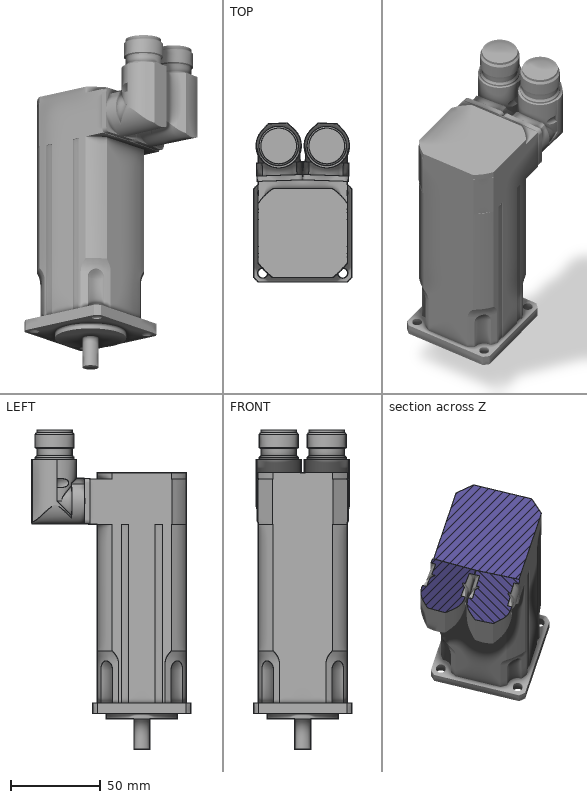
import cadquery as cq
import math


FLANGE_SIDE = 55.0
FLANGE_CORNER_DIAMETER = 74.0
FLANGE_THICKNESS = 6.0
BOLT_OFFSET = 22.4
BOLT_HOLE_DIAMETER = 5.5
PILOT_DIAMETER = 40.0
PILOT_HEIGHT = 3.0
SHAFT_DIAMETER = 9.0
SHAFT_LENGTH = 20.0

BODY_SIDE = 50.0
BODY_HALF = BODY_SIDE / 2
BODY_CORNER_RADIUS = 30.0
MOTOR_TOP = 135.0

RELIEF_RADIUS = 28.2
RELIEF_STRAIGHT_TOP = 28.2
RELIEF_BLEND_RADIUS = 14.5
SCREW_GROOVE_RADIUS = 6.0
SCREW_GROOVE_STRAIGHT_TOP = 24.6

SIDE_GROOVE_WIDTH = 4.0
SIDE_GROOVE_OFFSET = 9.5
SIDE_GROOVE_DEPTH = 0.5

HEAD_BOTTOM = 106.0
HEAD_TOP = 131.5
HEAD_CORNER_CHAMFER = 8.0
HEAD_RIDGE_Y = 29.85
SPLAY_ANGLE = 2.0

CONNECTOR_WIDTH = 25.6
SHELL_RADIUS = 12.7
CONNECTOR_AXIS_Z = 119.05
BASE_THICKNESS = 3.0
BASE_CORNER_RADIUS = 2.5
COLLAR_END = 10.2
COLLAR_RADIUS = 12.9
COLLAR_CORNER_START = 7.5
COLLAR_CORNER = 9.6
ARM_RADIUS = 11.8
SOCKET_REACH = 19.45
SOCKET_RADIUS = 12.3
SOCKET_TOP = 142.5
SHELL_SETBACK = 1.0
SHELL_FRONT = SOCKET_REACH - SHELL_SETBACK
DIMPLE_RADIUS = 2.55
DIMPLE_Z = 129.2
DIMPLE_LENGTH = 7.0
PLUG_DIAMETER = 20.0
RING_DIAMETER = 22.0
RING_SHOULDER = 143.5
RING_TOP = 144.5
NUT_BOTTOM = 149.0
NUT_TOP = 156.5
NUT_LOWER_CHAMFER = 0.5
NUT_UPPER_CHAMFER = 1.0
CONNECTOR_TOP = 159.0


def prism(side, bottom, top):
    return cq.Workplane("XY").workplane(offset=bottom).rect(side, side).extrude(top - bottom)


def cylinder(radius, bottom, top):
    return cq.Workplane("XY").workplane(offset=bottom).circle(radius).extrude(top - bottom)


def rounded_square(side, corner_radius, bottom, top):
    return prism(side, bottom, top).intersect(cylinder(corner_radius, bottom, top))


def make_corner_relief():
    """Revolved cutter that thins the corners of the barrel just above the flange."""
    rise = math.sqrt(
        RELIEF_BLEND_RADIUS**2
        - (RELIEF_BLEND_RADIUS - BODY_CORNER_RADIUS + RELIEF_RADIUS) ** 2
    )
    half_angle = math.asin(rise / RELIEF_BLEND_RADIUS) / 2
    blend_middle = (
        RELIEF_RADIUS + RELIEF_BLEND_RADIUS * (1 - math.cos(half_angle)),
        RELIEF_STRAIGHT_TOP + RELIEF_BLEND_RADIUS * math.sin(half_angle),
    )
    blend_end = (BODY_CORNER_RADIUS, RELIEF_STRAIGHT_TOP + rise)
    outside = BODY_SIDE
    return (
        cq.Workplane("XZ")
        .moveTo(RELIEF_RADIUS, FLANGE_THICKNESS)
        .lineTo(RELIEF_RADIUS, RELIEF_STRAIGHT_TOP)
        .threePointArc(blend_middle, blend_end)
        .lineTo(outside, blend_end[1])
        .lineTo(outside, FLANGE_THICKNESS)
        .close()
        .revolve(360, (0, 0, 0), (0, 1, 0))
    )


def make_screw_groove(x, y):
    """Domed clearance for the head of one flange screw."""
    shank = cylinder(SCREW_GROOVE_RADIUS, FLANGE_THICKNESS, SCREW_GROOVE_STRAIGHT_TOP)
    dome = cq.Workplane("XY").sphere(SCREW_GROOVE_RADIUS).translate((0, 0, SCREW_GROOVE_STRAIGHT_TOP))
    return shank.union(dome).translate((x, y, 0))


def make_barrel():
    barrel = rounded_square(BODY_SIDE, BODY_CORNER_RADIUS, FLANGE_THICKNESS, MOTOR_TOP)
    barrel = barrel.cut(make_corner_relief())
    for x in (-BOLT_OFFSET, BOLT_OFFSET):
        for y in (-BOLT_OFFSET, BOLT_OFFSET):
            barrel = barrel.cut(make_screw_groove(x, y))
    groove_height = HEAD_BOTTOM - FLANGE_THICKNESS
    for x in (-BODY_HALF, BODY_HALF):
        for y in (-SIDE_GROOVE_OFFSET, SIDE_GROOVE_OFFSET):
            groove = cq.Workplane("XY").box(
                2 * SIDE_GROOVE_DEPTH, SIDE_GROOVE_WIDTH, groove_height, centered=(True, True, False)
            )
            barrel = barrel.cut(groove.translate((x, y, FLANGE_THICKNESS)))
    return barrel


def make_head():
    """Block that carries the connectors; its back is a shallow roof with the ridge at X = 0."""
    back_edge_y = HEAD_RIDGE_Y - BODY_HALF * math.tan(math.radians(SPLAY_ANGLE))
    chamfer_end = BODY_HALF - HEAD_CORNER_CHAMFER
    return (
        cq.Workplane("XY")
        .workplane(offset=HEAD_BOTTOM)
        .polyline(
            [
                (-chamfer_end, -BODY_HALF),
                (chamfer_end, -BODY_HALF),
                (BODY_HALF, -chamfer_end),
                (BODY_HALF, back_edge_y),
                (0, HEAD_RIDGE_Y),
                (-BODY_HALF, back_edge_y),
                (-BODY_HALF, -chamfer_end),
            ]
        )
        .close()
        .extrude(HEAD_TOP - HEAD_BOTTOM)
    )


def make_barrel_with_head():
    """The head takes the place of the barrel between its own bottom and top."""
    head_zone = prism(2 * BODY_SIDE, HEAD_BOTTOM, HEAD_TOP)
    return make_barrel().cut(head_zone).union(make_head())


def make_motor():
    flange = rounded_square(FLANGE_SIDE, FLANGE_CORNER_DIAMETER / 2, 0, FLANGE_THICKNESS)
    bolt_holes = (
        cq.Workplane("XY")
        .rect(2 * BOLT_OFFSET, 2 * BOLT_OFFSET, forConstruction=True)
        .vertices()
        .circle(BOLT_HOLE_DIAMETER / 2)
        .extrude(FLANGE_THICKNESS)
    )
    pilot = cylinder(PILOT_DIAMETER / 2, -PILOT_HEIGHT, 0)
    shaft = cylinder(SHAFT_DIAMETER / 2, -SHAFT_LENGTH, -PILOT_HEIGHT)
    return flange.cut(bolt_holes).union(pilot).union(shaft).union(make_barrel_with_head())




def arm_section(start):
    """Workplane across the arm at Y = `start`; a negative extrusion runs outward along +Y."""
    return cq.Workplane("XZ", origin=(0, start, CONNECTOR_AXIS_Z))


def make_base():
    return (
        arm_section(0)
        .rect(CONNECTOR_WIDTH, CONNECTOR_WIDTH)
        .extrude(-BASE_THICKNESS)
        .edges("|Y")
        .fillet(BASE_CORNER_RADIUS)
    )


def make_arm():
    """Round arm with a round collar that has a blunt corner at 45 degrees on each upper side."""
    round_end = math.sqrt(COLLAR_RADIUS**2 - COLLAR_CORNER_START**2)
    collar = arm_section(BASE_THICKNESS).circle(COLLAR_RADIUS).extrude(BASE_THICKNESS - COLLAR_END)
    for side in (-1, 1):
        corner = (
            arm_section(BASE_THICKNESS)
            .polyline(
                [
                    (0, 0),
                    (side * round_end, COLLAR_CORNER_START),
                    (side * COLLAR_CORNER, COLLAR_CORNER),
                    (side * COLLAR_CORNER_START, round_end),
                ]
            )
            .close()
            .extrude(BASE_THICKNESS - COLLAR_END)
        )
        collar = collar.union(corner)
    arm = arm_section(BASE_THICKNESS).circle(ARM_RADIUS).extrude(BASE_THICKNESS - SOCKET_REACH)
    return collar.union(arm)


def make_socket():
    """Upright round socket with a scooped grip on each side."""
    socket = cylinder(SOCKET_RADIUS, CONNECTOR_AXIS_Z, SOCKET_TOP).translate((0, SOCKET_REACH, 0))
    for x in (-SOCKET_RADIUS, SOCKET_RADIUS):
        scoop = (
            cq.Workplane("XZ", origin=(x, SHELL_FRONT, DIMPLE_Z))
            .circle(DIMPLE_RADIUS)
            .extrude(DIMPLE_LENGTH)
        )
        socket = socket.cut(scoop)
    return socket


def make_shell():
    """Outer half of the elbow: an upright profile with a flat back, mitred by a lying round one."""
    bottom = CONNECTOR_AXIS_Z - COLLAR_RADIUS
    height = SOCKET_TOP - CONNECTOR_AXIS_Z
    tangent = SHELL_RADIUS / math.sqrt(2)
    rear_flat_half = SHELL_RADIUS * (math.sqrt(2) - 1)
    upright = (
        cq.Workplane("XY", origin=(0, SOCKET_REACH, bottom))
        .moveTo(-tangent, tangent)
        .lineTo(-rear_flat_half, SHELL_RADIUS)
        .lineTo(rear_flat_half, SHELL_RADIUS)
        .lineTo(tangent, tangent)
        .threePointArc((0, -SHELL_RADIUS), (-tangent, tangent))
        .close()
        .extrude(SOCKET_TOP - bottom)
    )
    lying = (
        arm_section(0)
        .moveTo(-COLLAR_RADIUS, height)
        .lineTo(-COLLAR_RADIUS, 0)
        .threePointArc((0, -COLLAR_RADIUS), (COLLAR_RADIUS, 0))
        .lineTo(COLLAR_RADIUS, height)
        .close()
        .extrude(-2 * SOCKET_REACH)
    )
    side = (
        cq.Workplane("YZ", origin=(-CONNECTOR_WIDTH, 0, CONNECTOR_AXIS_Z))
        .moveTo(SHELL_FRONT, height)
        .lineTo(SHELL_FRONT, 0)
        .lineTo(0, -SHELL_FRONT)
        .lineTo(2 * SOCKET_REACH, -SHELL_FRONT)
        .lineTo(2 * SOCKET_REACH, height)
        .close()
        .extrude(2 * CONNECTOR_WIDTH)
    )
    return upright.intersect(lying).intersect(side)


def make_plug():
    plug_radius = PLUG_DIAMETER / 2
    ring_radius = RING_DIAMETER / 2
    return (
        cq.Workplane("XZ")
        .polyline(
            [
                (0, SOCKET_TOP),
                (ring_radius, SOCKET_TOP),
                (ring_radius, RING_SHOULDER),
                (plug_radius, RING_TOP),
                (plug_radius, NUT_BOTTOM - NUT_LOWER_CHAMFER),
                (ring_radius, NUT_BOTTOM),
                (ring_radius, NUT_TOP),
                (plug_radius, NUT_TOP + NUT_UPPER_CHAMFER),
                (plug_radius, CONNECTOR_TOP),
                (0, CONNECTOR_TOP),
            ]
        )
        .close()
        .revolve(360, (0, 0, 0), (0, 1, 0))
        .translate((0, SOCKET_REACH, 0))
    )


def make_connector(side):
    """Connector on the +X (side = 1) or -X (side = -1) half of the head's back face."""
    connector = make_base().union(make_arm()).union(make_socket()).union(make_shell()).union(make_plug())
    return (
        connector.translate((side * CONNECTOR_WIDTH / 2, 0, 0))
        .rotate((0, 0, 0), (0, 0, 1), -side * SPLAY_ANGLE)
        .translate((0, HEAD_RIDGE_Y, 0))
    )


motor = make_motor()
connectors = [make_connector(side) for side in (-1, 1)]

result = cq.Compound.makeCompound([motor.val(), *[connector.val() for connector in connectors]])